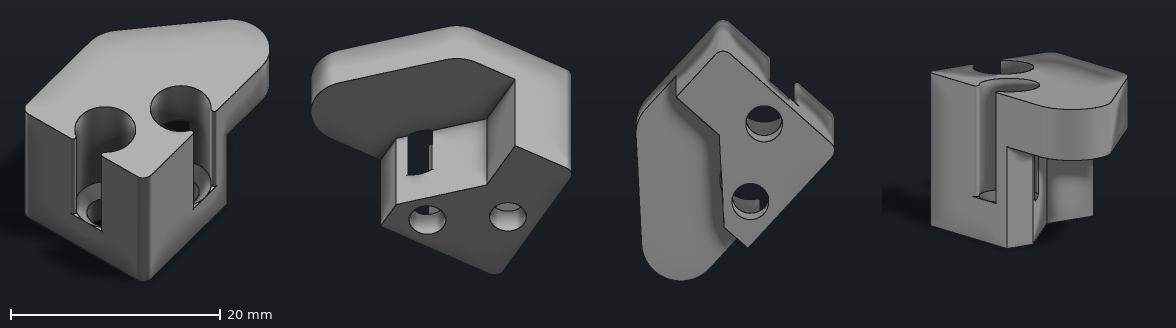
import cadquery as cq
import math

width = 15.0
length = 22.15
height = 15.0
plate_thickness = 5.0
corner_radius = 1.0
shoulder_radius = 3.76

body_length = 12.95
body_left_length = 6.6
bevel_start_x = 5.55

screw_diameter = 3.5
bore_diameter = 5.8
bore_radius = bore_diameter / 2
seat_bottom = 2.99
seat_depth = (bore_diameter - screw_diameter) / 2
bore_bottom = seat_bottom + seat_depth
front_hole = (8.0, bore_radius)
side_hole = (width - bore_radius, 9.4)

slot_edge_radius = 0.3


def make_plate():
    """Upper plate with a 45 degree side blended into two tangent arcs."""
    diagonal = shoulder_radius * math.sqrt(0.5)
    half_diagonal = shoulder_radius * math.sin(math.radians(22.5))
    half_diagonal_run = shoulder_radius * math.cos(math.radians(22.5))
    tip_x = width - shoulder_radius
    tip_y = length - shoulder_radius
    shoulder_x = shoulder_radius
    shoulder_y = tip_y - (tip_x - shoulder_x)
    return (
        cq.Workplane("XY").workplane(offset=height - plate_thickness)
        .moveTo(0, 0)
        .lineTo(width, 0)
        .lineTo(width, tip_y)
        .threePointArc(
            (tip_x + half_diagonal, tip_y + half_diagonal_run),
            (tip_x - diagonal, tip_y + diagonal),
        )
        .lineTo(shoulder_x - diagonal, shoulder_y + diagonal)
        .threePointArc(
            (shoulder_x - half_diagonal_run, shoulder_y + half_diagonal),
            (0, shoulder_y),
        )
        .close()
        .extrude(plate_thickness)
    )


def make_body():
    """Lower body that carries the screw seats."""
    bevel_end_x = bevel_start_x + body_length - body_left_length
    outline = [
        (0, 0),
        (width, 0),
        (width, body_length),
        (bevel_end_x, body_length),
        (bevel_start_x, body_left_length),
        (0, body_left_length),
    ]
    return cq.Workplane("XY").polyline(outline).close().extrude(height - plate_thickness)


def make_hole(center):
    """Through hole, conical seat and bore open to the top."""
    base = cq.Workplane("XY").center(*center)
    through = base.circle(screw_diameter / 2).extrude(height)
    seat = (
        base.workplane(offset=seat_bottom)
        .circle(screw_diameter / 2)
        .workplane(offset=seat_depth)
        .circle(bore_radius)
        .loft()
    )
    bore = base.workplane(offset=bore_bottom).circle(bore_radius).extrude(height - bore_bottom)
    return through.union(seat).union(bore)


def make_slot(center, angle):
    """Slot from a bore to the face it touches; at zero angle it faces -Y.

    Each lip is a round tangent to both the outer face and the bore.
    """
    face_y = -bore_radius
    lip_y = face_y + slot_edge_radius
    lip_distance = bore_radius + slot_edge_radius
    lip_x = math.sqrt(lip_distance**2 - lip_y**2)
    half_width = lip_x - slot_edge_radius
    bore_fraction = bore_radius / lip_distance
    tangent_x = lip_x * bore_fraction
    tangent_y = lip_y * bore_fraction
    slot = (
        cq.Workplane("XY").workplane(offset=bore_bottom)
        .moveTo(-lip_x, face_y)
        .threePointArc((-half_width, lip_y), (-tangent_x, tangent_y))
        .lineTo(0, 0)
        .lineTo(tangent_x, tangent_y)
        .threePointArc((half_width, lip_y), (lip_x, face_y))
        .close()
        .extrude(height - bore_bottom)
    )
    return slot.rotate((0, 0, 0), (0, 0, 1), angle).translate((*center, 0))


block = make_plate().union(make_body())
block = block.edges("|Z and <Y").fillet(corner_radius)

result = block
for hole_center, slot_angle in ((front_hole, 0), (side_hole, 90)):
    result = result.cut(make_hole(hole_center))
    result = result.cut(make_slot(hole_center, slot_angle))